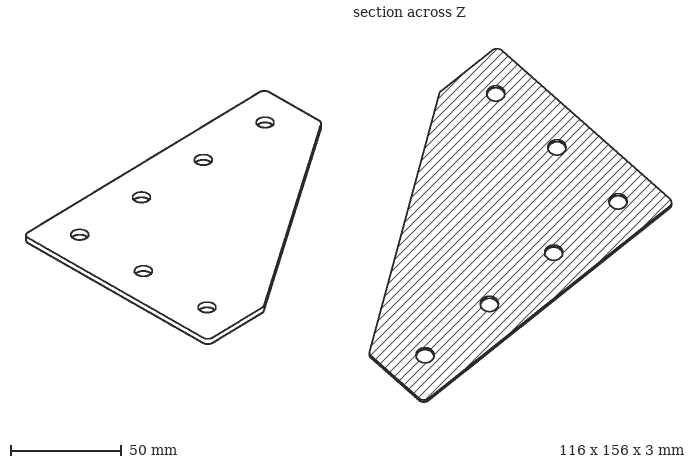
import cadquery as cq

thickness = 3.0
hole_pitch = 40.0
hole_diameter = 8.0
edge_distance = 18.0
holes_along_x = 3
holes_along_y = 4
corner_radius = 3.0

length_x = (holes_along_x - 1) * hole_pitch + 2 * edge_distance
length_y = (holes_along_y - 1) * hole_pitch + 2 * edge_distance
arm_width = 2 * edge_distance


def plate_blank():
    """L-plate with its inner corner filled by a sloping edge, outer corner at the origin."""
    outline = [
        (0, 0),
        (length_x, 0),
        (length_x, arm_width),
        (arm_width, length_y),
        (0, length_y),
    ]
    blank = cq.Workplane("XY").polyline(outline).close().extrude(thickness)
    return blank.edges("|Z").fillet(corner_radius)


def hole_centres():
    """One row of holes along each arm."""
    row_x = [(edge_distance + i * hole_pitch, edge_distance) for i in range(holes_along_x)]
    row_y = [(edge_distance, edge_distance + i * hole_pitch) for i in range(1, holes_along_y)]
    return row_x + row_y


result = plate_blank().faces(">Z").workplane(origin=(0, 0, 0)).pushPoints(hole_centres()).hole(hole_diameter)